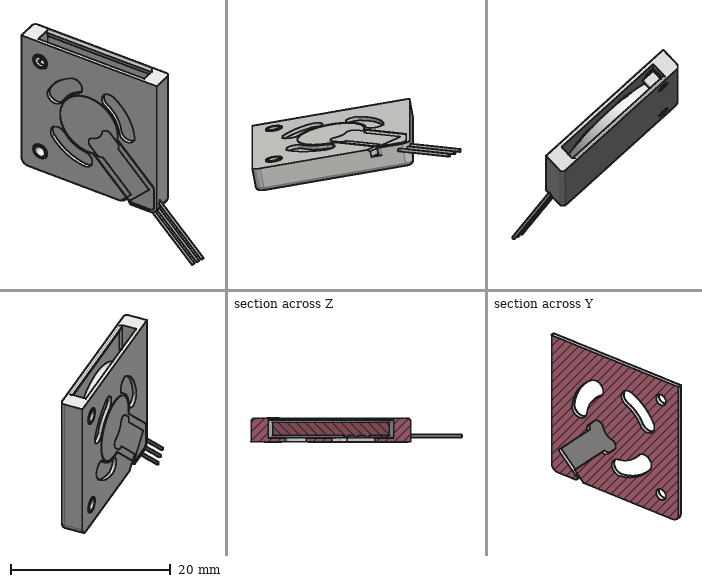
import cadquery as cq
import math


housing_side = 20.0
half_side = housing_side / 2
overall_depth = 3.1
label_thickness = 0.08
housing_depth = overall_depth - label_thickness
bottom_corner_radius = 1.0
rear_edge_radius = 0.5

front_wall = 0.5
rear_wall = 0.3
chamber_rear = housing_depth - rear_wall
chamber_depth = chamber_rear - front_wall
chamber_radius = 8.45
outlet_half_width = 7.81
outlet_corner_chamfer = 0.3
tongue_top = 6.2
tongue_nose_radius = 0.15
lip_height = 0.26
lip_ramp = 0.69

mount_x = -7.23
mount_z = 7.0
mount_hole_radius = 0.75
mount_rim_radius = 1.05
mount_rim_chamfer = 0.065

inlet_radius = 5.62
inlet_width = 2.27
inlet_spans = [(6.8, 57.6), (112.8, 153.6), (215.9, 263.2)]

lead_direction = 45
label_radius = 4.25
tab_half_width = 2.5
tab_edge_gap = 0.4
tab_side_radius = 0.95
tab_corner_radius = 0.63

pocket_depth = 1.0
pocket_start = 1.58
pocket_hub_radius = 1.98
pocket_head_end = 4.5
pocket_head_half_width = 2.16
pocket_head_radius = 0.8
pocket_neck_half_width = 1.58
pocket_end = 10.93
notch_start = 10.59
notch_bevel = 0.25
notch_side_x = 5.85
notch_shoulder_z = -9.3
notch_corner_radius = 0.42

rotor_radius = 8.0
rotor_front = 0.8
rotor_rear = 2.45
lead_radius = 0.198
lead_pitch = 0.95
lead_y = 0.75
lead_reach = 26.4 - half_side
lead_length = lead_reach * math.sqrt(2) - lead_pitch - lead_radius


def plane_at(y):
    """Workplane parallel to the front face; negative extrusions go towards +Y."""
    return cq.Workplane("XZ", origin=(0, y, 0))


def turn_to_leads(shape):
    """Turn a shape laid out along +X so that it points to the lower right corner."""
    return shape.rotate((0, 0, 0), (0, 1, 0), lead_direction)


def make_shell():
    shell = plane_at(0).rect(housing_side, housing_side).extrude(-housing_depth)
    shell = shell.edges("|Y and <Z").fillet(bottom_corner_radius)
    top_edge = shell.faces(">Y").edges(">Z").val()
    rear_edges = [edge for edge in shell.faces(">Y").edges().vals() if not edge.isSame(top_edge)]
    return shell.newObject(rear_edges).fillet(rear_edge_radius)


def make_chamber():
    """Round fan chamber, with an outlet that opens through the top beside the tongue."""
    chamber = plane_at(front_wall).circle(chamber_radius).extrude(-chamber_depth)
    outlet_height = half_side - tongue_top
    outlet = (
        plane_at(front_wall)
        .center(0, tongue_top + outlet_height / 2)
        .rect(2 * outlet_half_width, outlet_height)
        .extrude(-chamber_depth)
        .edges("|Z and >X and >Y")
        .chamfer(outlet_corner_chamfer)
    )
    side_start = math.sqrt(chamber_radius**2 - outlet_half_width**2)
    side_height = tongue_top - side_start
    side = (
        plane_at(front_wall)
        .center(outlet_half_width / 2, side_start + side_height / 2)
        .rect(outlet_half_width, side_height)
        .extrude(-chamber_depth)
    )
    nose = (-math.sqrt(chamber_radius**2 - tongue_top**2), chamber_rear - chamber_depth / 2, tongue_top)
    chamber = chamber.union(outlet).union(side)
    return chamber.edges(cq.NearestToPointSelector(nose)).fillet(tongue_nose_radius)


def make_outlet_lip():
    """Rib along the rear of the outlet, rounded on top and ramped underneath."""
    round_end_z = half_side - lip_height
    return (
        cq.Workplane("YZ", origin=(-outlet_half_width, 0, 0))
        .moveTo(chamber_rear, half_side)
        .radiusArc((chamber_rear - lip_height, round_end_z), -lip_height)
        .lineTo(chamber_rear, round_end_z - lip_ramp)
        .close()
        .extrude(2 * outlet_half_width)
    )


def mount_points():
    return [(mount_x, mount_z), (mount_x, -mount_z)]


def make_mount_rims():
    return (
        plane_at(0)
        .pushPoints(mount_points())
        .circle(mount_rim_radius)
        .extrude(label_thickness)
        .faces("<Y")
        .chamfer(mount_rim_chamfer)
    )


def make_mount_holes():
    return (
        plane_at(-label_thickness)
        .pushPoints(mount_points())
        .circle(mount_hole_radius)
        .extrude(-overall_depth)
    )


def make_inlet(start_angle, end_angle):
    """Arc slot with round ends through the front wall."""

    def polar(radius, angle):
        return (radius * math.cos(math.radians(angle)), radius * math.sin(math.radians(angle)))

    middle_angle = (start_angle + end_angle) / 2
    inner = inlet_radius - inlet_width / 2
    outer = inlet_radius + inlet_width / 2
    return (
        plane_at(0)
        .moveTo(*polar(outer, start_angle))
        .threePointArc(polar(outer, middle_angle), polar(outer, end_angle))
        .radiusArc(polar(inner, end_angle), -inlet_width / 2)
        .threePointArc(polar(inner, middle_angle), polar(inner, start_angle))
        .radiusArc(polar(outer, start_angle), -inlet_width / 2)
        .close()
        .extrude(-front_wall)
    )


def make_wiring_pocket():
    """T-shaped pocket whose wide head is hollowed by a round hub left around the fan axis."""
    head_length = pocket_head_end - pocket_start
    head = (
        plane_at(0)
        .center(pocket_start + head_length / 2, 0)
        .rect(head_length, 2 * pocket_head_half_width)
        .extrude(-pocket_depth)
        .edges("|Y")
        .fillet(pocket_head_radius)
    )
    neck_length = pocket_end - pocket_start
    neck = (
        plane_at(0)
        .center(pocket_start + neck_length / 2, 0)
        .rect(neck_length, 2 * pocket_neck_half_width)
        .extrude(-pocket_depth)
    )
    hub = plane_at(0).circle(pocket_hub_radius).extrude(-pocket_depth)
    return turn_to_leads(head.union(neck).cut(hub))


def make_edge_notch():
    """Side branch of the wiring pocket that breaks out through the bottom edge."""
    wall_offset = notch_start * math.sqrt(2)
    end_offset = pocket_end * math.sqrt(2)
    neck_offset = pocket_neck_half_width * math.sqrt(2)
    return (
        plane_at(0)
        .moveTo(wall_offset - half_side, -half_side)
        .lineTo((wall_offset - neck_offset) / 2, -(wall_offset + neck_offset) / 2)
        .lineTo((end_offset - neck_offset) / 2, -(end_offset + neck_offset) / 2)
        .lineTo(notch_shoulder_z + end_offset, notch_shoulder_z)
        .lineTo(notch_side_x, notch_shoulder_z)
        .lineTo(notch_side_x, notch_corner_radius - half_side)
        .radiusArc((notch_side_x + notch_corner_radius, -half_side), -notch_corner_radius)
        .close()
        .extrude(-pocket_depth)
    )


def make_notch_bevel():
    """Bevel along the front edge of the notch wall, from the wiring pocket to the bottom edge."""
    bevel = (
        cq.Workplane("XY", origin=(0, 0, -pocket_neck_half_width))
        .polyline([(notch_start - notch_bevel, 0), (notch_start, 0), (notch_start, notch_bevel)])
        .close()
        .extrude(-half_side)
    )
    return turn_to_leads(bevel)


def make_leads():
    leads = (
        cq.Workplane("YZ")
        .pushPoints([(lead_y, offset) for offset in (-lead_pitch, 0, lead_pitch)])
        .circle(lead_radius)
        .extrude(lead_length)
    )
    return turn_to_leads(leads)


def make_housing():
    housing = make_shell().cut(make_chamber()).union(make_outlet_lip())
    housing = housing.union(make_mount_rims()).cut(make_mount_holes())
    for start_angle, end_angle in inlet_spans:
        housing = housing.cut(make_inlet(start_angle, end_angle))
    housing = housing.cut(make_wiring_pocket()).cut(make_edge_notch())
    housing = housing.cut(make_notch_bevel())
    return housing.cut(make_leads())


def make_rotor():
    """Rotor disc with the leads that start under it and leave through the corner."""
    disc = plane_at(rotor_front).circle(rotor_radius).extrude(rotor_front - rotor_rear)
    return disc.union(make_leads())


def make_label():
    edge = half_side - tab_edge_gap
    side_offset = tab_half_width * math.sqrt(2)
    side_corner = (edge, side_offset - edge)
    lower_corner = (edge - side_offset, -edge)
    tab = (
        plane_at(0)
        .polyline(
            [
                (side_offset / 2, side_offset / 2),
                side_corner,
                (edge, -edge),
                lower_corner,
                (-side_offset / 2, -side_offset / 2),
            ]
        )
        .close()
        .extrude(label_thickness)
    )
    for (x, z), radius in [
        (side_corner, tab_side_radius),
        (lower_corner, tab_side_radius),
        ((edge, -edge), tab_corner_radius),
    ]:
        tab = tab.edges("|Y").edges(cq.NearestToPointSelector((x, -label_thickness / 2, z))).fillet(radius)
    disc = plane_at(0).circle(label_radius).extrude(label_thickness)
    return disc.union(tab)


housing = make_housing()
rotor = make_rotor()
label = make_label()

result = cq.Compound.makeCompound([housing.val(), rotor.val(), label.val()])